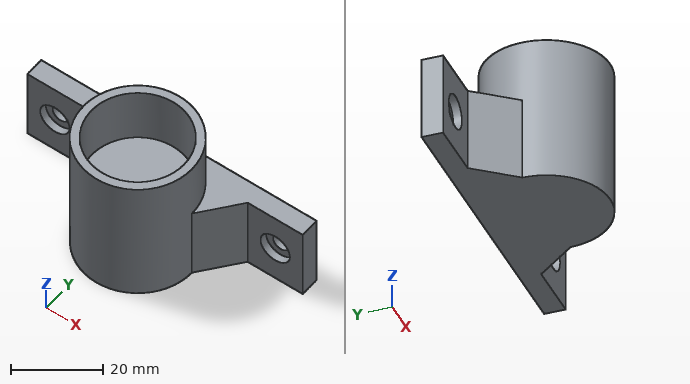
import cadquery as cq

tube_diameter = 29.5
tube_height = 35.0
bore_diameter = 25.2
bore_depth = 15.0

plate_width = 75.0
plate_thickness = 5.0
plate_height = 20.0

web_base_width = 45.0

screw_spacing = 60.0
screw_diameter = 4.2
head_diameter = 8.0
head_depth = 2.0

tube_radius = tube_diameter / 2
plate_back = tube_radius
plate_front = plate_back - plate_thickness


def make_bracket():
    """Plate and webs as one outline, symmetric about the YZ plane."""
    half_plate = plate_width / 2
    half_web = web_base_width / 2
    outline = [
        (-half_plate, plate_back),
        (-half_plate, plate_front),
        (-half_web, plate_front),
        (-tube_radius, 0),
        (tube_radius, 0),
        (half_web, plate_front),
        (half_plate, plate_front),
        (half_plate, plate_back),
    ]
    return cq.Workplane("XY").polyline(outline).close().extrude(plate_height)


def make_tube():
    return cq.Workplane("XY").circle(tube_radius).extrude(tube_height)


def cut_bore(body):
    """Blind socket, open at the top of the tube."""
    floor = tube_height - bore_depth
    bore = cq.Workplane("XY").workplane(offset=floor).circle(bore_diameter / 2).extrude(bore_depth)
    return body.cut(bore)


def cut_screw_holes(body):
    """Through holes along Y, counterbored from the front face of the plate."""
    front_face = cq.Workplane("XZ", origin=(0, plate_front, plate_height / 2))
    for x in (-screw_spacing / 2, screw_spacing / 2):
        hole = front_face.center(x, 0).circle(screw_diameter / 2).extrude(-plate_thickness)
        head = front_face.center(x, 0).circle(head_diameter / 2).extrude(-head_depth)
        body = body.cut(hole).cut(head)
    return body


result = make_bracket().union(make_tube())
result = cut_bore(result)
result = cut_screw_holes(result)